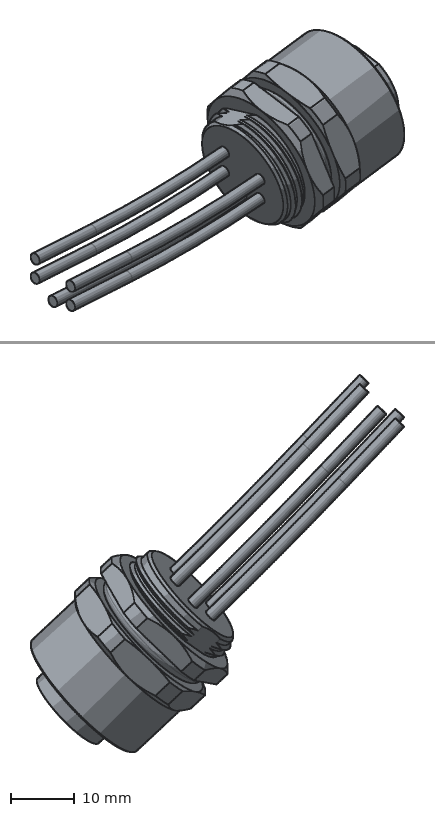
import cadquery as cq
import math

TOTAL_LENGTH = 69.6

ACROSS_FLATS = 24.0

PLUG_RADIUS = 7.0
PLUG_FLAT_HEIGHT = 6.55
PLUG_LENGTH = 3.4
BODY_RADIUS = ACROSS_FLATS / 2
BODY_EDGE_CHAMFER = 0.2
BODY_END = 13.4

HEX_SIDES = 6
CORNER_RADIUS = 13.0
HEX_CHAMFER = 0.9
REAR_HEX_END = 17.9
REAR_HEX_SHALLOW_CHAMFER = 0.35
LOCKNUT_START = 20.05
LOCKNUT_END = 23.4

RING_SECTION_RADIUS = 1.1
RING_OUTER_RADIUS = 10.8

NECK_RADIUS = 9.6
NECK_END = 27.5
NECK_CHAMFER = 0.5
CREST_RADIUS = 10.2
PITCH = 1.4
THREAD_BASE = 1.25
THREAD_EMBED = 0.2
THREAD_START = 1.2
FLAT_DISTANCE = 9.3
FLAT_TILT = 30.0

WIRE_RADIUS = 1.0
WIRE_CIRCLE_RADIUS = 4.6
WIRE_PLACES = 6
EXIT_ANGLE = 4.0
TIP_ANGLE = 14.4
STRAIGHT_TIP_LENGTH = 12.95


def disc(radius, start, end):
    """Cylinder on the connector axis between two stations."""
    return cq.Workplane("XZ", origin=(0, -start, 0)).circle(radius).extrude(end - start)


def make_plug():
    plug = disc(PLUG_RADIUS, 0, PLUG_LENGTH)
    keep = cq.Workplane("XY").box(
        2 * PLUG_RADIUS, 2 * PLUG_LENGTH, PLUG_RADIUS + PLUG_FLAT_HEIGHT, centered=(True, True, False)
    )
    return plug.intersect(keep.translate((0, 0, -PLUG_RADIUS)))


def make_body():
    body = disc(BODY_RADIUS, PLUG_LENGTH, BODY_END)
    return body.faces(">Y").chamfer(BODY_EDGE_CHAMFER)


def make_hexagon(start, end, start_chamfer, end_chamfer):
    """Hexagon with turned corners and a conical chamfer of given depth at either end (0 for none)."""
    across_corners = ACROSS_FLATS / math.cos(math.pi / HEX_SIDES)
    prism = cq.Workplane("XZ", origin=(0, -start, 0)).polygon(HEX_SIDES, across_corners).extrude(end - start)

    outline = [(0, -start)]
    if start_chamfer:
        outline.append((BODY_RADIUS, -start))
    outline.append((CORNER_RADIUS, -(start + start_chamfer)))
    outline.append((CORNER_RADIUS, -(end - end_chamfer)))
    if end_chamfer:
        outline.append((BODY_RADIUS, -end))
    outline.append((0, -end))
    turned = cq.Workplane("XY").polyline(outline).close().revolve(360, (0, 0, 0), (0, 1, 0))
    return prism.intersect(turned)


def make_ring():
    centre_radius = RING_OUTER_RADIUS - RING_SECTION_RADIUS
    centre_station = (REAR_HEX_END + LOCKNUT_START) / 2
    return (
        cq.Workplane("XY")
        .center(centre_radius, -centre_station)
        .circle(RING_SECTION_RADIUS)
        .revolve(360, (-centre_radius, 0, 0), (-centre_radius, 1, 0))
    )


def make_thread():
    """Right-hand V ridge that starts in the upper flat and runs out inside the locknut."""
    root_radius = NECK_RADIUS - THREAD_EMBED
    height = NECK_END - LOCKNUT_END - THREAD_START + PITCH / 2
    path = cq.Wire.makeHelix(PITCH, height, root_radius)
    ridge = (
        cq.Workplane("XZ")
        .moveTo(root_radius, -THREAD_BASE / 2)
        .lineTo(CREST_RADIUS, 0)
        .lineTo(root_radius, THREAD_BASE / 2)
        .close()
        .sweep(cq.Workplane(path), isFrenet=True)
    )
    ridge = ridge.rotate((0, 0, 0), (1, 0, 0), -90)
    ridge = ridge.rotate((0, 0, 0), (0, 1, 0), -(90 + FLAT_TILT))
    return ridge.translate((0, THREAD_START - NECK_END, 0))


def make_neck():
    neck = disc(NECK_RADIUS, BODY_END, NECK_END)
    neck = neck.faces("<Y").chamfer(NECK_CHAMFER)
    neck = neck.union(make_thread())
    flat_length = NECK_END - LOCKNUT_END
    for turn in (0, 180):
        cutter = (
            cq.Workplane("XY")
            .box(2 * CREST_RADIUS, flat_length, CREST_RADIUS, centered=(True, True, False))
            .translate((0, -(LOCKNUT_END + NECK_END) / 2, FLAT_DISTANCE))
            .rotate((0, 0, 0), (0, 1, 0), turn - FLAT_TILT)
        )
        neck = neck.cut(cutter)
    return neck


def make_wire(x, z):
    """Wire that leaves the neck face at (x, z), bends upward along an arc and ends straight."""
    exit_angle = math.radians(EXIT_ANGLE)
    tip_angle = math.radians(TIP_ANGLE)
    tip_station = TOTAL_LENGTH - WIRE_RADIUS * math.sin(tip_angle)
    bend_end_station = tip_station - STRAIGHT_TIP_LENGTH * math.cos(tip_angle)
    bend_radius = (bend_end_station - NECK_END) / (math.sin(tip_angle) - math.sin(exit_angle))

    def bend_point(angle):
        station = NECK_END + bend_radius * (math.sin(angle) - math.sin(exit_angle))
        rise = bend_radius * (math.cos(exit_angle) - math.cos(angle))
        return cq.Vector(x, -station, z + rise)

    root_angle = exit_angle - 2 * WIRE_RADIUS / bend_radius
    middle_angle = (root_angle + tip_angle) / 2
    root = bend_point(root_angle)
    bend_end = bend_point(tip_angle)
    tip_direction = cq.Vector(0, -math.cos(tip_angle), math.sin(tip_angle))
    bend = cq.Edge.makeThreePointArc(root, bend_point(middle_angle), bend_end)
    straight = cq.Edge.makeLine(bend_end, bend_end + tip_direction * STRAIGHT_TIP_LENGTH)
    path = cq.Workplane(cq.Wire.assembleEdges([bend, straight]))

    root_direction = (0, -math.cos(root_angle), math.sin(root_angle))
    section = cq.Plane(origin=root, xDir=(1, 0, 0), normal=root_direction)
    return cq.Workplane(section).circle(WIRE_RADIUS).sweep(path)


rear_hex = make_hexagon(BODY_END, REAR_HEX_END, HEX_CHAMFER, REAR_HEX_SHALLOW_CHAMFER)
locknut = make_hexagon(LOCKNUT_START, LOCKNUT_END, 0, HEX_CHAMFER)

result = make_plug().union(make_body()).union(make_neck())
for part in (rear_hex, make_ring(), locknut):
    result = result.union(part)

for place in range(1, WIRE_PLACES):
    place_angle = 2 * math.pi * place / WIRE_PLACES
    wire_x = WIRE_CIRCLE_RADIUS * math.sin(place_angle)
    wire_z = WIRE_CIRCLE_RADIUS * math.cos(place_angle)
    result = result.union(make_wire(wire_x, wire_z))